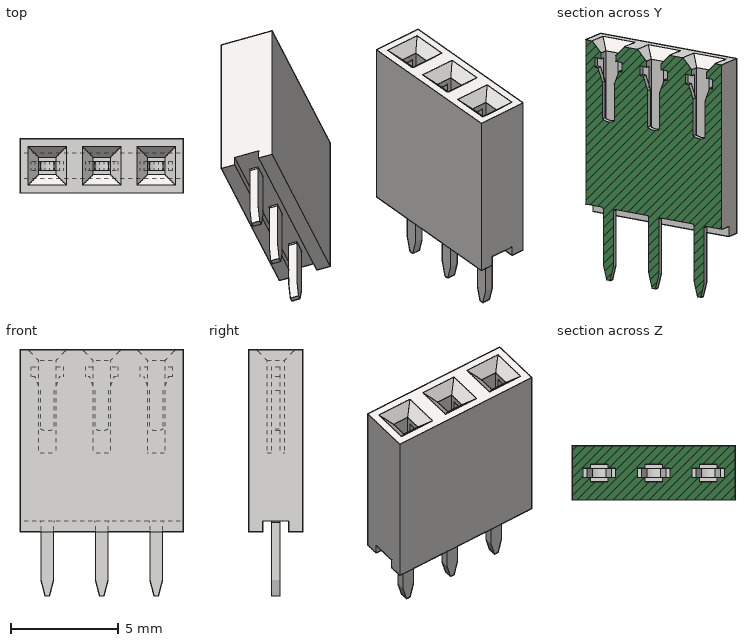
import cadquery as cq
import math

socket_count = 3
pitch = 2.54
housing_length = socket_count * pitch
housing_depth = pitch
housing_height = 8.5

groove_width = 1.2
groove_depth = 0.5

mouth_size = 1.79
shaft_size = 0.8
funnel_depth = 0.51
shaft_depth = 4.83
slot_width = 1.5
slot_drop = 0.3

contact_thickness = 0.41
prong_gap = 0.64
prong_tip_gap = 1.15
prong_tip_drop = 0.75
lead_in_angle = 69.0
gap_depth = 2.53
gap_floor_sag = 0.09

pin_width = 0.6
pin_length = 3.0
tip_width = 0.21
tip_length = 0.75
flare_start_drop = 0.07
flare_angle = 25.0

funnel_bottom = housing_height - funnel_depth
shaft_bottom = housing_height - shaft_depth
slot_top = funnel_bottom - slot_drop
prong_top = funnel_bottom - prong_tip_drop
lead_in_bottom = prong_top - (prong_tip_gap - prong_gap) / 2 * math.tan(math.radians(lead_in_angle))
gap_bottom = prong_top - gap_depth
flare_bottom = groove_depth - flare_start_drop
flare_top = flare_bottom + (slot_width - pin_width) / 2 / math.tan(math.radians(flare_angle))


def make_block(length, depth, bottom, top):
    """Rectangular block centred on the Z axis between two levels."""
    block = cq.Workplane("XY", origin=(0, 0, bottom))
    return block.rect(length, depth).extrude(top - bottom)


def make_housing():
    """Block with the groove cut along its underside."""
    block = make_block(housing_length, housing_depth, 0, housing_height)
    groove = make_block(housing_length, groove_width, 0, groove_depth)
    return block.cut(groove)


def make_socket():
    """Funnel, shaft and contact slot to be removed from the housing."""
    funnel = (
        cq.Workplane("XY", origin=(0, 0, housing_height))
        .rect(mouth_size, mouth_size)
        .workplane(offset=-funnel_depth)
        .rect(shaft_size, shaft_size)
        .loft(ruled=True)
    )
    shaft = make_block(shaft_size, shaft_size, shaft_bottom, funnel_bottom)
    slot = make_block(slot_width, contact_thickness, shaft_bottom, slot_top)
    return funnel.union(shaft).union(slot)


def make_contact():
    """Fork, flare and pin as one flat plate, centred in Y."""
    right_side = [
        (prong_gap / 2, lead_in_bottom),
        (prong_tip_gap / 2, prong_top),
        (slot_width / 2, prong_top),
        (slot_width / 2, flare_top),
        (pin_width / 2, flare_bottom),
        (pin_width / 2, tip_length - pin_length),
        (tip_width / 2, -pin_length),
    ]
    left_side = [(-x, z) for x, z in reversed(right_side)]
    gap_corner = gap_bottom + gap_floor_sag
    outline = (
        cq.Workplane("XZ")
        .moveTo(-prong_gap / 2, gap_corner)
        .threePointArc((0, gap_bottom), (prong_gap / 2, gap_corner))
    )
    for point in right_side + left_side:
        outline = outline.lineTo(*point)
    return outline.close().extrude(contact_thickness / 2, both=True)


result = make_housing()
for index in range(socket_count):
    socket_x = (index - (socket_count - 1) / 2) * pitch
    position = (socket_x, 0, 0)
    result = result.cut(make_socket().translate(position))
    result = result.union(make_contact().translate(position))